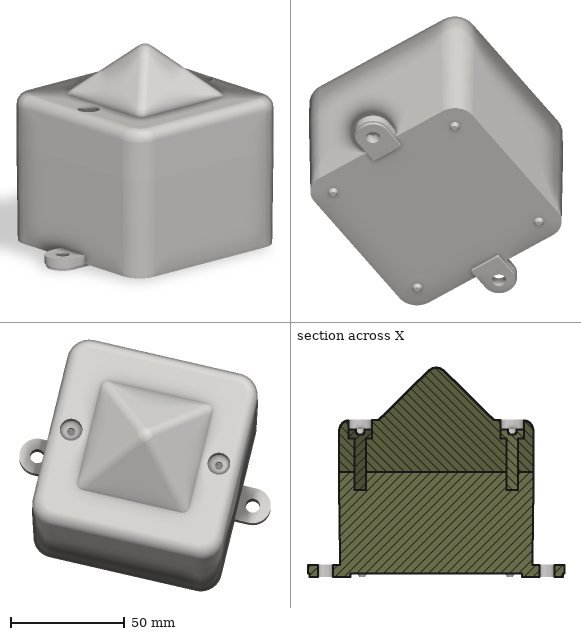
import cadquery as cq

BODY_WIDTH = 86.4
CORNER_RADIUS = 10.0
FLOOR_Z = 1.5
PARTING_Z = 46.7
COVER_TOP_Z = 69.5
TOP_FILLET = 5.0
HOUSING_DRAFT = 0.8
COVER_DRAFT = 0.5

LUG_SPAN = 113.8
LUG_WIDTH = 15.9
LUG_HEIGHT = 4.0
LUG_HOLE_DIAMETER = 6.4
LUG_HOLE_Y = (LUG_SPAN - LUG_WIDTH) / 2
PAD_INSET = 0.7
PAD_WIDTH = LUG_WIDTH - 2 * PAD_INSET
STRIP_INNER_Y = 37.8
PAD_CORNER_RADIUS = 0.6

FOOT_OFFSET = 32.7
FOOT_TOP_DIAMETER = 4.4
FOOT_BOTTOM_DIAMETER = 2.5

PYRAMID_HALF_WIDTH = 25.5
PYRAMID_SHARP_HEIGHT = 25.2
PYRAMID_EDGE_RADIUS = 4.8
PYRAMID_ROOT_DEPTH = 6.8

SCREW_Y = 33.6
HEAD_DIAMETER = 10.0
HEAD_HEIGHT = 4.0
HEAD_TOP_Z = COVER_TOP_Z - 4.1
SHANK_DIAMETER = 5.0
SHANK_LENGTH = 22.8
SOCKET_DIAMETER = 3.5
SOCKET_DEPTH = 1.7
SOCKET_STEP_DIAMETER = 2.7
SOCKET_STEP_DEPTH = 2.3

SIDES = (-1, 1)


def cylinder(diameter, x, y, bottom_z, top_z):
    return (
        cq.Workplane("XY", origin=(x, y, bottom_z))
        .circle(diameter / 2)
        .extrude(top_z - bottom_z)
    )


def drafted_box(height, draft):
    """Rounded square block that narrows away from the parting plane; a negative height goes down."""
    outline = cq.Sketch().rect(BODY_WIDTH, BODY_WIDTH).vertices().fillet(CORNER_RADIUS)
    return (
        cq.Workplane("XY", origin=(0, 0, PARTING_Z))
        .placeSketch(outline)
        .extrude(height, taper=draft)
    )


def make_tongue(side, width, bottom_z, height):
    """Flat strip along Y with a round outer end centred on the lug hole."""
    radius = width / 2
    return (
        cq.Workplane("XY", origin=(0, 0, bottom_z))
        .moveTo(-radius, side * STRIP_INNER_Y)
        .lineTo(-radius, side * LUG_HOLE_Y)
        .threePointArc((0, side * (LUG_HOLE_Y + radius)), (radius, side * LUG_HOLE_Y))
        .lineTo(radius, side * STRIP_INNER_Y)
        .close()
        .extrude(height)
    )


def make_lug(side):
    lug = make_tongue(side, LUG_WIDTH, FLOOR_Z, LUG_HEIGHT)
    inner_end = "<Y" if side > 0 else ">Y"
    pad = (
        make_tongue(side, PAD_WIDTH, 0, FLOOR_Z)
        .faces(inner_end)
        .edges("|Z")
        .fillet(PAD_CORNER_RADIUS)
    )
    return lug.union(pad)


def make_foot(x, y):
    return (
        cq.Workplane("XY", origin=(x, y, 0))
        .circle(FOOT_BOTTOM_DIAMETER / 2)
        .workplane(offset=FLOOR_Z)
        .circle(FOOT_TOP_DIAMETER / 2)
        .loft()
    )


def make_screw_blank(side):
    """Head and shank of a cover screw without its socket."""
    y = side * SCREW_Y
    seat_z = HEAD_TOP_Z - HEAD_HEIGHT
    head = cylinder(HEAD_DIAMETER, 0, y, seat_z, HEAD_TOP_Z)
    shank = cylinder(SHANK_DIAMETER, 0, y, seat_z - SHANK_LENGTH, seat_z)
    return head.union(shank)


def make_screw(side):
    y = side * SCREW_Y
    socket_floor_z = HEAD_TOP_Z - SOCKET_DEPTH
    socket = cylinder(SOCKET_DIAMETER, 0, y, socket_floor_z, HEAD_TOP_Z)
    step = cylinder(SOCKET_STEP_DIAMETER, 0, y, HEAD_TOP_Z - SOCKET_STEP_DEPTH, socket_floor_z)
    return make_screw_blank(side).cut(socket).cut(step)


def make_housing():
    housing = drafted_box(FLOOR_Z - PARTING_Z, HOUSING_DRAFT)
    for side in SIDES:
        housing = housing.union(make_lug(side))
        lug_hole = cylinder(LUG_HOLE_DIAMETER, 0, side * LUG_HOLE_Y, 0, FLOOR_Z + LUG_HEIGHT)
        housing = housing.cut(lug_hole)
        for foot_side in SIDES:
            housing = housing.union(make_foot(foot_side * FOOT_OFFSET, side * FOOT_OFFSET))
        housing = housing.cut(make_screw_blank(side))
    return housing


def make_pyramid():
    """Square pyramid with rounded ridges and tip, trimmed at the cover top."""
    root_half_width = PYRAMID_HALF_WIDTH * (1 + PYRAMID_ROOT_DEPTH / PYRAMID_SHARP_HEIGHT)
    root_z = COVER_TOP_Z - PYRAMID_ROOT_DEPTH
    apex_z = COVER_TOP_Z + PYRAMID_SHARP_HEIGHT
    triangle = [(-root_half_width, root_z), (root_half_width, root_z), (0, apex_z)]
    roof_along_y = cq.Workplane("XZ").polyline(triangle).close().extrude(root_half_width, both=True)
    roof_along_x = cq.Workplane("YZ").polyline(triangle).close().extrude(root_half_width, both=True)
    pyramid = roof_along_y.intersect(roof_along_x).edges("not #Z").fillet(PYRAMID_EDGE_RADIUS)
    above_cover = (
        cq.Workplane("XY", origin=(0, 0, COVER_TOP_Z))
        .rect(BODY_WIDTH, BODY_WIDTH)
        .extrude(PYRAMID_SHARP_HEIGHT)
    )
    return pyramid.intersect(above_cover)


def make_cover():
    cover = (
        drafted_box(COVER_TOP_Z - PARTING_Z, COVER_DRAFT)
        .faces(">Z")
        .edges()
        .fillet(TOP_FILLET)
        .union(make_pyramid())
    )
    for side in SIDES:
        recess = cylinder(HEAD_DIAMETER, 0, side * SCREW_Y, HEAD_TOP_Z, COVER_TOP_Z)
        cover = cover.cut(recess).cut(make_screw_blank(side))
    return cover


housing = make_housing()
cover = make_cover()
screws = [make_screw(side) for side in SIDES]

result = cq.Compound.makeCompound(
    [body.solids().val() for body in (housing, cover, *screws)]
)